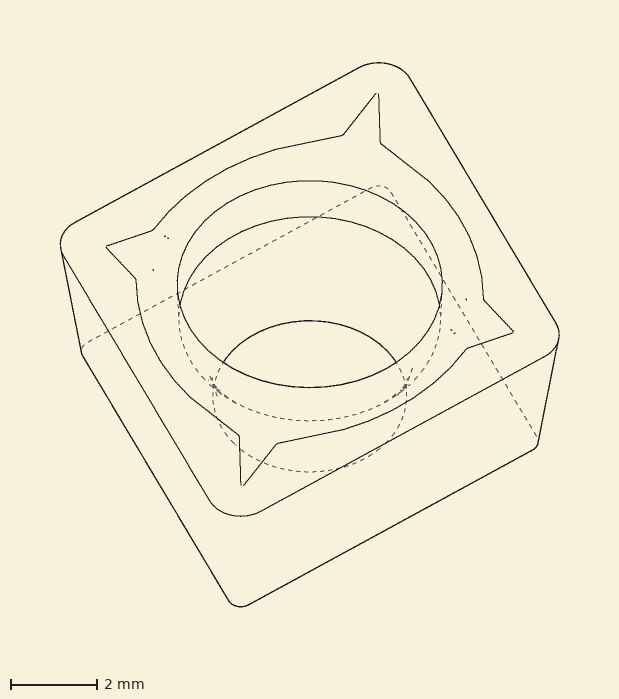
import cadquery as cq
import math

inscribed_diameter = 9.525
nose_angle = 80.0
nose_radius = 0.8
body_height = 3.97
clearance_angle = 7.0
half_width = inscribed_diameter / 2
long_diagonal_direction = 90.0 + nose_angle / 2

island_height = 0.2
wall_run = 0.46
wall_draft = math.degrees(math.atan2(wall_run, island_height))
island_top = body_height + island_height

long_corner = 4.89
short_corner = 4.12
kink_x = 3.82
kink_y = 1.85
side_radius = 5.5

long_spike_tip = 6.15
long_spike_half_angle = 16.5
short_spike_tip = 4.92
short_spike_half_angle = 38.5
spike_length = 3.5
spike_ridge_radius = 0.12
long_valley = (4.49, 0.27)
short_valley = (0.64, 3.82)
valley_radius = 0.35
rim_radius = 0.25

mouth_radius = 3.08
seat_start_radius = 3.04
throat_radius = 4.5 / 2
mouth_depth = 1.29
seat_arc_radius = 4.0


def make_body():
    """Rounded rhombus, largest at the top, with two sides parallel to Y."""
    acute_y = half_width / math.tan(math.radians(nose_angle / 2))
    slope = math.tan(math.radians(90.0 - nose_angle))
    obtuse_y = acute_y - inscribed_diameter * slope
    corners = [
        (-half_width, acute_y),
        (half_width, obtuse_y),
        (half_width, -acute_y),
        (-half_width, -obtuse_y),
    ]
    blank = cq.Workplane("XY").polyline(corners).close().extrude(-body_height)
    outline = blank.edges("|Z").fillet(nose_radius).faces(">Z").wires().toPending()
    drafted = outline.workplane().extrude(-body_height, combine=False, taper=clearance_angle)
    return drafted.translate((0, 0, body_height))


def make_island_core():
    """Four-sided island: each side is a straight run and an arc."""
    outline = (
        cq.Workplane("XY", origin=(0, 0, body_height))
        .moveTo(long_corner, 0)
        .lineTo(kink_x, kink_y)
        .radiusArc((0, short_corner), -side_radius)
        .radiusArc((-kink_x, kink_y), -side_radius)
        .lineTo(-long_corner, 0)
        .lineTo(-kink_x, -kink_y)
        .radiusArc((0, -short_corner), -side_radius)
        .radiusArc((kink_x, -kink_y), -side_radius)
        .close()
    )
    core = outline.extrude(island_height, taper=wall_draft)
    return core.faces(">Z").edges().fillet(rim_radius)


def make_spike(tip, half_angle, direction):
    """Wedge with a rounded ridge, its root buried in the island."""
    root_x = tip - spike_length
    root_y = spike_length * math.tan(math.radians(half_angle))
    wedge = (
        cq.Workplane("XY", origin=(0, 0, body_height))
        .polyline([(tip, 0), (root_x, root_y), (root_x, -root_y)])
        .close()
        .extrude(island_height, taper=wall_draft)
    )
    wedge = wedge.faces(">Z").edges().fillet(rim_radius)
    ridge = wedge.edges(cq.NearestToPointSelector((tip, 0, body_height)))
    return ridge.fillet(spike_ridge_radius).rotate((0, 0, 0), (0, 0, 1), direction)


def make_island():
    """Core and four spikes, with the valleys between them rounded."""
    island = make_island_core()
    for direction in (0, 180):
        island = island.union(make_spike(long_spike_tip, long_spike_half_angle, direction))
        island = island.union(make_spike(short_spike_tip, short_spike_half_angle, direction + 90))
    valley_z = body_height + island_height / 2
    for x, y in (long_valley, short_valley):
        for valley in ((x, y), (-x, y), (-x, -y), (x, -y)):
            island = island.edges(cq.NearestToPointSelector((*valley, valley_z))).fillet(valley_radius)
    return island.rotate((0, 0, 0), (0, 0, 1), long_diagonal_direction)


def make_hole():
    """Revolved cutter for the screw hole."""
    seat_angle = math.acos(1 - (seat_start_radius - throat_radius) / seat_arc_radius)
    seat_z = island_top - mouth_depth
    throat_z = seat_z - seat_arc_radius * math.sin(seat_angle)
    profile = (
        cq.Workplane("XZ")
        .moveTo(0, 0)
        .lineTo(throat_radius, 0)
        .lineTo(throat_radius, throat_z)
        .radiusArc((seat_start_radius, seat_z), seat_arc_radius)
        .lineTo(mouth_radius, island_top)
        .lineTo(0, island_top)
        .close()
    )
    return profile.revolve(360, (0, 0, 0), (0, 1, 0))


result = make_body().union(make_island()).cut(make_hole())